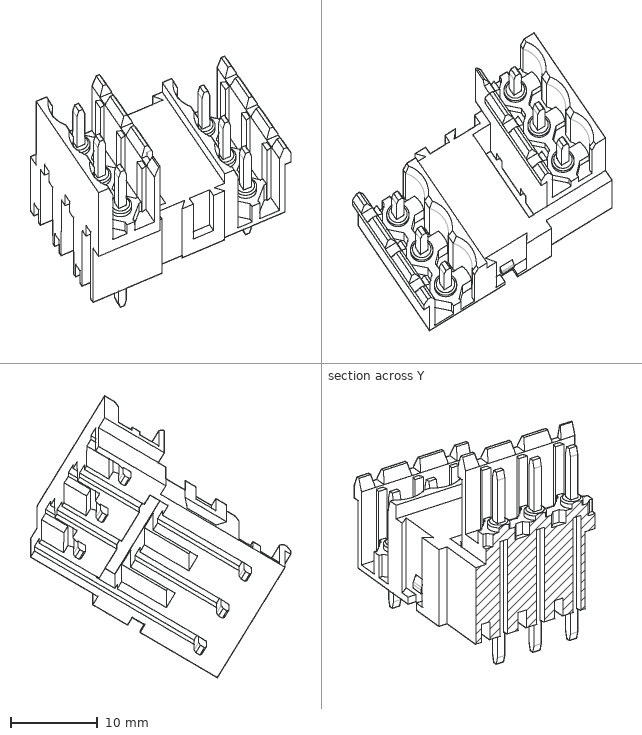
import cadquery as cq

POLES = 3
PITCH = 5.08
ROW_LENGTH = POLES * PITCH
ROW_STAGGER = PITCH / 2
ROW_SPACING = 17.78
DECK_Z = 10.16

HEADER_TOP = 11.94
CHAMFER_START = 10.4
WALL_INNER_Y = 1.88
WALL_RIDGE_Y = 1.37
PIN_Y = 4.23
LATCH_INNER_Y = 7.33
LATCH_OUTER_Y = 8.07
HOOK_OUTER_Y = 8.85
HOOK_BOTTOM = 8.9
HOOK_CHAMFER_START = 10.6
HOOK_RIDGE_Y = (7.88, 8.3)
REAR_FLOOR = 0.76
FRONT_FLOOR = 2.03
REAR_WALL_SETBACK = 0.14

NOTCH_BOTTOM_WIDTH = 1.21
NOTCH_TOP_WIDTH = 1.77
RIB_ROOT_WIDTH = 0.85
RIB_TIP_WIDTH = 1.2
RIB_TIP_Y = 6.74
RIB_TOP = 10.12

SCALLOP_RADIUS = 3.09
SCALLOP_TOP_RADIUS = 3.56

PEDESTAL_TOP = 3.68
BAR_HALF_WIDTH = 0.52
DIAMOND_HALF_LENGTH = 2.1
NECK_START = 2.2
STEM_START = 1.67
STEM_WIDTH = 2.0
STEM_END = 3.2
COLLAR_RADIUS = 1.3
COLLAR_TOP_RADIUS = 1.06
COLLAR_SHOULDER = 0.57
COLLAR_HEIGHT = 0.78

PIN_SIZE = 1.03
PIN_TIP_THICKNESS = 0.53
PIN_TAPER = 0.97
PIN_TOP = 11.15
PIN_BOTTOM = -4.06

BASE_STEP_Y = 9.06
FRONT_BASE_X = (1.14, 16.42)
WINDOW_X = (ROW_STAGGER, 14.53)
WINDOW_BACK_Y = 10.52
BASE_OVERLAP = 0.5

GROOVE_TOP = 10.5
GROOVE_TOP_WIDTH = 2.9
GROOVE_BOTTOM_WIDTH = 3.05
GROOVE_DEPTH = 3.0
SLOT_WIDTH = 1.08
SLOT_INNER_WIDTH = 0.72
SLOT_TOP = 12.5
REAR_SLOT_TOP = 2.36
CAVITY_WIDTH = 2.0
CAVITY_TOP = 9.24
CAVITY_DEPTH = 6.0

DOVETAIL_Y = 14.6
DOVETAIL_SOCKET = (1.08, 4.12, 5.68)
DOVETAIL_TENON = (0.96, 3.9, 5.6)
SOCKET_FLOOR = 0.95
RELEASE_WIDTH = 1.7
CLIP_TIP_X = 0.66
CLIP_EDGE_X = 0.75
CLIP_HEIGHTS = (1.97, 2.45, 2.75, 3.6)
TENON_RECESS_WIDTH = 2.66


def box(x_range, y_range, z_range):
    """Axis-aligned block between the given limits."""
    size = [high - low for low, high in (x_range, y_range, z_range)]
    corner = (x_range[0], y_range[0], z_range[0])
    return cq.Workplane("XY").box(*size, centered=False).translate(corner)


def prism_along_x(points, x_start, length):
    """Prism with a (Y, Z) outline, extruded toward +X."""
    return cq.Workplane("YZ").workplane(offset=x_start).polyline(points).close().extrude(length)


def prism_along_y(points, y_start, length):
    """Prism with an (X, Z) outline, extruded toward +Y."""
    return cq.Workplane("XZ").workplane(offset=-y_start).polyline(points).close().extrude(-length)


def prism_up(points, z_range):
    """Prism with an (X, Y) outline between two heights."""
    low, high = z_range
    return cq.Workplane("XY").workplane(offset=low).polyline(points).close().extrude(high - low)


def around(x_center, width):
    return (x_center - width / 2, x_center + width / 2)


def pole_positions(offset=0.0):
    return [offset + PITCH * (index + 0.5) for index in range(POLES)]


def header_shell(floor, setback):
    """U-shaped trough: plain wall at low Y, hooked latch wall at high Y."""
    outline = [
        (setback, 0),
        (setback, HEADER_TOP),
        (WALL_RIDGE_Y, HEADER_TOP),
        (WALL_INNER_Y, CHAMFER_START),
        (WALL_INNER_Y, floor),
        (LATCH_INNER_Y, floor),
        (LATCH_INNER_Y, CHAMFER_START),
        (HOOK_RIDGE_Y[0], HEADER_TOP),
        (HOOK_RIDGE_Y[1], HEADER_TOP),
        (HOOK_OUTER_Y, HOOK_CHAMFER_START),
        (HOOK_OUTER_Y, HOOK_BOTTOM),
        (LATCH_OUTER_Y, HOOK_BOTTOM),
        (LATCH_OUTER_Y, 0),
    ]
    return prism_along_x(outline, 0, ROW_LENGTH)


def latch_notch(x):
    """Tapered gap between neighbouring latch hooks."""
    bottom = around(x, NOTCH_BOTTOM_WIDTH)
    top = around(x, NOTCH_TOP_WIDTH)
    outline = [
        (bottom[0], CHAMFER_START),
        (bottom[1], CHAMFER_START),
        (top[1], HEADER_TOP),
        (top[0], HEADER_TOP),
    ]
    return prism_along_y(outline, LATCH_INNER_Y, HOOK_OUTER_Y - LATCH_INNER_Y)


def wall_scallop(x, floor):
    """Round relief in the plain wall, flared toward the top."""
    profile = [
        (0, floor),
        (SCALLOP_RADIUS, floor),
        (SCALLOP_RADIUS, CHAMFER_START),
        (SCALLOP_TOP_RADIUS, HEADER_TOP),
        (0, HEADER_TOP),
    ]
    relief = cq.Workplane("XZ").polyline(profile).close().revolve(360, (0, 0), (0, 1))
    wall_zone = box((-PITCH, PITCH), (-PIN_Y, WALL_INNER_Y - PIN_Y), (floor, HEADER_TOP))
    return relief.intersect(wall_zone).translate((x, PIN_Y, 0))


def keying_rib(x):
    """Dovetail-shaped rib on the inside of the latch wall."""
    root = around(x, RIB_ROOT_WIDTH)
    tip = around(x, RIB_TIP_WIDTH)
    outline = [
        (root[0], LATCH_INNER_Y),
        (root[1], LATCH_INNER_Y),
        (tip[1], RIB_TIP_Y),
        (tip[0], RIB_TIP_Y),
    ]
    return prism_up(outline, (0, RIB_TOP))


def pedestal(x):
    """Raised platform around a pin, tied to both walls and to the next pole."""
    half_outline = [
        (RIB_ROOT_WIDTH / 2, RIB_TIP_Y),
        (RIB_ROOT_WIDTH / 2, PIN_Y + NECK_START),
        (DIAMOND_HALF_LENGTH, PIN_Y + BAR_HALF_WIDTH),
        (PITCH / 2, PIN_Y + BAR_HALF_WIDTH),
        (PITCH / 2, PIN_Y - BAR_HALF_WIDTH),
        (DIAMOND_HALF_LENGTH, PIN_Y - BAR_HALF_WIDTH),
        (STEM_WIDTH / 2, PIN_Y - STEM_START),
        (STEM_WIDTH / 2, PIN_Y - STEM_END),
    ]
    right_side = [(x + dx, y) for dx, y in half_outline]
    left_side = [(x - dx, y) for dx, y in reversed(half_outline)]
    return prism_up(right_side + left_side, (0, PEDESTAL_TOP))


def pin_collar(x):
    """Round collar with a bevelled top edge, seated on the pedestal."""
    profile = [
        (0, 0),
        (COLLAR_RADIUS, 0),
        (COLLAR_RADIUS, COLLAR_SHOULDER),
        (COLLAR_TOP_RADIUS, COLLAR_HEIGHT),
        (0, COLLAR_HEIGHT),
    ]
    collar = cq.Workplane("XZ").polyline(profile).close().revolve(360, (0, 0), (0, 1))
    return collar.translate((x, PIN_Y, PEDESTAL_TOP))


def contact_pin(x, bottom):
    """Square pin, tapered in Y at both ends."""
    half = PIN_SIZE / 2
    tip = PIN_TIP_THICKNESS / 2
    outline = [
        (PIN_Y - tip, bottom),
        (PIN_Y + tip, bottom),
        (PIN_Y + half, bottom + PIN_TAPER),
        (PIN_Y + half, PIN_TOP - PIN_TAPER),
        (PIN_Y + tip, PIN_TOP),
        (PIN_Y - tip, PIN_TOP),
        (PIN_Y - half, PIN_TOP - PIN_TAPER),
        (PIN_Y - half, bottom + PIN_TAPER),
    ]
    return prism_along_x(outline, x - half, PIN_SIZE)


def header_row(floor, setback):
    """Insulating trough of one row, with pedestals and collars but no pins."""
    row = header_shell(floor, setback)
    for x in pole_positions():
        row = row.cut(latch_notch(x)).cut(wall_scallop(x, floor))
    for x in pole_positions():
        row = row.union(pedestal(x)).union(keying_rib(x)).union(pin_collar(x))
    return row


def rear_header():
    return header_row(REAR_FLOOR, REAR_WALL_SETBACK).translate((0, ROW_SPACING, 0))


def front_header():
    """Upper row; its hook is trimmed flush above the side wall of the base."""
    row = header_row(FRONT_FLOOR, 0).translate((ROW_STAGGER, 0, DECK_Z))
    trimmed_x = (WINDOW_X[1], ROW_STAGGER + ROW_LENGTH)
    trim = box(trimmed_x, (LATCH_OUTER_Y, HOOK_OUTER_Y), (DECK_Z, DECK_Z + HEADER_TOP))
    return row.cut(trim)


def dovetail(x, depth, mouth_width, inner_width, z_range):
    """Dovetail prism that widens from x toward +X."""
    mouth = around(DOVETAIL_Y, mouth_width)
    inner = around(DOVETAIL_Y, inner_width)
    outline = [
        (x, mouth[0]),
        (x + depth, inner[0]),
        (x + depth, inner[1]),
        (x, mouth[1]),
    ]
    return prism_up(outline, z_range)


def base_block():
    """Stepped block under both rows, with the window behind the front row."""
    rear = box((0, ROW_LENGTH), (BASE_STEP_Y, ROW_SPACING + BASE_OVERLAP), (0, DECK_Z))
    front = box(FRONT_BASE_X, (0, BASE_STEP_Y), (0, DECK_Z))
    window = box(WINDOW_X, (LATCH_OUTER_Y, WINDOW_BACK_Y), (0, DECK_Z))
    return rear.union(front).cut(window)


def wall_cavity(x):
    """Core-out between two rear poles, open to the window and the underside."""
    y_range = (WINDOW_BACK_Y, WINDOW_BACK_Y + CAVITY_DEPTH)
    return box(around(x, CAVITY_WIDTH), y_range, (0, CAVITY_TOP))


def locking_clip():
    """Ramped catch on the back wall of the dovetail socket."""
    wall_x = DOVETAIL_SOCKET[0]
    bottom, edge, ramp, top = CLIP_HEIGHTS
    outline = [
        (wall_x, bottom),
        (CLIP_TIP_X, bottom),
        (CLIP_TIP_X, edge),
        (CLIP_EDGE_X, ramp),
        (wall_x, top),
    ]
    return prism_along_y(outline, DOVETAIL_Y - RELEASE_WIDTH / 2, RELEASE_WIDTH)


def dovetail_joint(body):
    """Socket with its clip on the left side, matching tenon on the right."""
    socket = dovetail(0, *DOVETAIL_SOCKET, (SOCKET_FLOOR, DECK_Z))
    release = box((0, DOVETAIL_SOCKET[0]), around(DOVETAIL_Y, RELEASE_WIDTH), (0, SOCKET_FLOOR))
    tenon = dovetail(ROW_LENGTH, *DOVETAIL_TENON, (SOCKET_FLOOR, DECK_Z))
    tenon_x = (ROW_LENGTH, ROW_LENGTH + DOVETAIL_TENON[0])
    recess = box(tenon_x, around(DOVETAIL_Y, TENON_RECESS_WIDTH), (CLIP_HEIGHTS[-1], DECK_Z))
    body = body.cut(socket).cut(release).union(locking_clip())
    return body.union(tenon.cut(recess))


def front_groove(x, is_last):
    """Drafted groove in front of a pin; the last one stops at the pin slot."""
    bottom = around(x, GROOVE_BOTTOM_WIDTH)
    top = around(x, GROOVE_TOP_WIDTH)
    outline = [
        (bottom[0], 0),
        (bottom[1], 0),
        (top[1], GROOVE_TOP),
        (top[0], GROOVE_TOP),
    ]
    groove = prism_along_y(outline, 0, GROOVE_DEPTH)
    if is_last:
        wall_x = (x + SLOT_WIDTH / 2, x + PITCH)
        groove = groove.cut(box(wall_x, (0, GROOVE_DEPTH), (0, GROOVE_TOP)))
    return groove


def front_pin_slot(x):
    """Insertion slot of a front pin, narrowing just before the pin."""
    outer = around(x, SLOT_WIDTH)
    inner = around(x, SLOT_INNER_WIDTH)
    pin_face_y = PIN_Y - PIN_SIZE / 2
    outline = [
        (outer[0], 0),
        (outer[1], 0),
        (outer[1], GROOVE_DEPTH),
        (inner[1], pin_face_y),
        (inner[0], pin_face_y),
        (outer[0], GROOVE_DEPTH),
    ]
    return prism_up(outline, (0, SLOT_TOP))


def rear_pin_slot(x):
    """Low channel running from the front face back to a rear pin."""
    return box(around(x, SLOT_WIDTH), (0, ROW_SPACING + PIN_Y), (0, REAR_SLOT_TOP))


def build():
    front_poles = pole_positions(ROW_STAGGER)
    rear_poles = pole_positions()

    body = dovetail_joint(base_block()).union(rear_header()).union(front_header())
    for x in front_poles[:-1]:
        body = body.cut(wall_cavity(x))
    for x in front_poles:
        body = body.cut(front_groove(x, x == front_poles[-1])).cut(front_pin_slot(x))
    for x in rear_poles:
        body = body.cut(rear_pin_slot(x))

    for x in rear_poles:
        rear_pin = contact_pin(x, PIN_BOTTOM)
        front_pin = contact_pin(x, PIN_BOTTOM - DECK_Z)
        body = body.union(rear_pin.translate((0, ROW_SPACING, 0)))
        body = body.union(front_pin.translate((ROW_STAGGER, 0, DECK_Z)))
    return body


result = build()